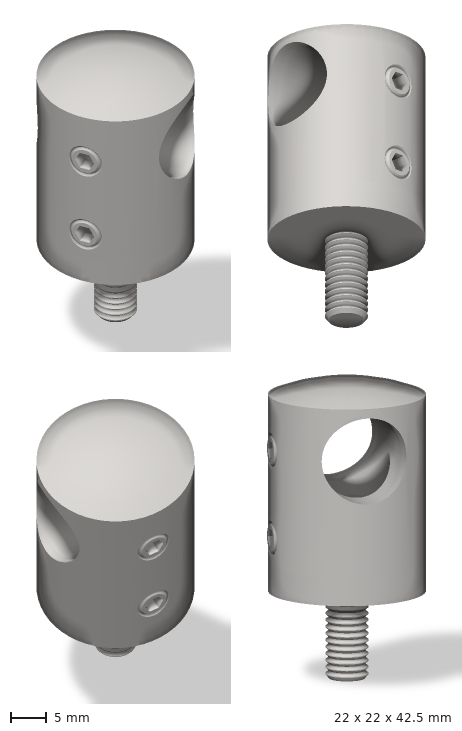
import cadquery as cq
import math

outer_diameter = 22.0
outer_radius = outer_diameter / 2
base_thickness = 4.0
rim_height = 27.9
dome_rise = 2.15

rail_bore_diameter = 12.2
rail_axis_height = 20.45
socket_diameter = 12.0
plug_top_height = 12.4

screw_diameter = 5.0
screw_bore_diameter = 4.2
screw_bore_chamfer = (screw_diameter - screw_bore_diameter) / 2
screw_face_diameter = 3.8
screw_length = 5.0
lower_screw_height = 8.0
upper_screw_height = rail_axis_height
hex_across_flats = 2.5
hex_depth = 2.0
drill_point_angle = 120.0

stud_diameter = 6.0
stud_root_diameter = 5.0
stud_length = 20.0
stud_exposed = 12.4
stud_pitch = 0.95
stud_crest_width = stud_pitch / 8
stud_bevel_length = 0.6


def cylinder(diameter, bottom, top):
    """Upright cylinder on the Z axis between two heights."""
    return cq.Workplane("XY").workplane(offset=bottom).circle(diameter / 2).extrude(top - bottom)


def make_stud_blank():
    """Square-ended stud in its place, with the thread built as a row of equal V-grooves."""
    tip = -stud_exposed
    top = tip + stud_length
    crest = stud_diameter / 2
    root = stud_root_diameter / 2
    groove_width = stud_pitch - stud_crest_width
    first_groove = tip + stud_bevel_length + stud_crest_width
    groove_count = math.ceil((top - first_groove) / stud_pitch)
    rod = cylinder(stud_diameter, tip, top)
    for index in range(groove_count):
        start = first_groove + index * stud_pitch
        groove = (
            cq.Workplane("XZ")
            .moveTo(crest, start)
            .lineTo(root, start + groove_width / 2)
            .lineTo(crest, start + groove_width)
            .close()
            .revolve(360, (0, 0, 0), (0, 1, 0))
        )
        rod = rod.cut(groove)
    return rod


def in_screw_place(shape, height):
    """Turn a shape built along +Z so that it runs inward along +Y from the front of the housing."""
    return shape.rotate((0, 0, 0), (1, 0, 0), -90).translate((0, -outer_radius, height))


def make_screw_blank():
    """Plain set screw along +Z, with a 45 degree bevel around its outer face and no socket."""
    bevel = (screw_diameter - screw_face_diameter) / 2
    return cylinder(screw_diameter, 0, screw_length).faces("<Z").chamfer(bevel)


def bore_for_screw(body, height):
    """Drill a screw bore to the middle of the housing, chamfer its mouth and cut the screw's seat."""
    bore = cylinder(screw_bore_diameter, 0, outer_radius)
    body = body.cut(in_screw_place(bore, height))
    mouth_box = cq.selectors.BoxSelector(
        (-screw_diameter, -outer_radius - screw_diameter, height - screw_diameter),
        (screw_diameter, -outer_radius / 2, height + screw_diameter),
    )
    body = body.edges(mouth_box).chamfer(screw_bore_chamfer)
    return body.cut(in_screw_place(make_screw_blank(), height))


def make_housing():
    dome_radius = (outer_radius**2 + dome_rise**2) / (2 * dome_rise)
    half_dome_angle = math.asin(outer_radius / dome_radius) / 2
    dome_top = rim_height + dome_rise
    dome_middle = (
        dome_radius * math.sin(half_dome_angle),
        dome_top - dome_radius * (1 - math.cos(half_dome_angle)),
    )
    body = (
        cq.Workplane("XZ")
        .moveTo(0, base_thickness)
        .lineTo(outer_radius, base_thickness)
        .lineTo(outer_radius, rim_height)
        .threePointArc(dome_middle, (0, dome_top))
        .close()
        .revolve(360, (0, 0, 0), (0, 1, 0))
    )
    for height in (lower_screw_height, upper_screw_height):
        body = bore_for_screw(body, height)
    rail_bore = (
        cq.Workplane("YZ")
        .center(0, rail_axis_height)
        .circle(rail_bore_diameter / 2)
        .extrude(outer_radius, both=True)
    )
    body = body.cut(rail_bore)
    return body.cut(cylinder(socket_diameter, base_thickness, rail_axis_height))


def make_base():
    flange = cylinder(outer_diameter, 0, base_thickness)
    plug = cylinder(socket_diameter, base_thickness, plug_top_height)
    return flange.union(plug).cut(make_stud_blank())


def make_stud():
    bevel_width = (stud_diameter - stud_root_diameter) / 2
    limit = cylinder(stud_diameter, -stud_exposed, stud_length - stud_exposed)
    limit = limit.faces("<Z").chamfer(stud_bevel_length, bevel_width)
    return make_stud_blank().intersect(limit)


def make_screw(height, has_drill_point):
    hex_corner_diameter = hex_across_flats / math.cos(math.pi / 6)
    hex_socket = cq.Workplane("XY").polygon(6, hex_corner_diameter).extrude(hex_depth)
    screw = make_screw_blank().cut(hex_socket)
    if has_drill_point:
        point_radius = hex_across_flats / 2
        point_depth = point_radius / math.tan(math.radians(drill_point_angle / 2))
        point = cq.Solid.makeCone(point_radius, 0, point_depth, cq.Vector(0, 0, hex_depth))
        screw = screw.cut(cq.Workplane(point))
    return in_screw_place(screw, height)


housing = make_housing()
base = make_base()
stud = make_stud()
lower_screw = make_screw(lower_screw_height, False)
upper_screw = make_screw(upper_screw_height, True)

result = cq.Compound.makeCompound(
    [housing.val(), base.val(), stud.val(), lower_screw.val(), upper_screw.val()]
)